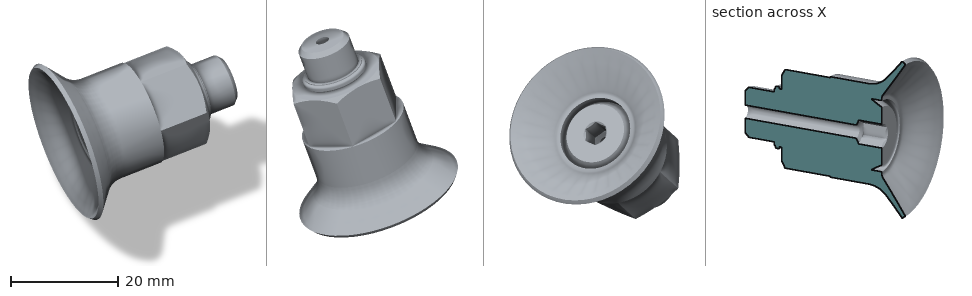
import cadquery as cq
import math

LENGTH = 34.0
RIM_Y = 0.75
FACE_Y = 5.0
SLEEVE_START_Y = 7.82
SLEEVE_END_Y = 16.0
HEX_END_Y = 26.25

RIM_DIAMETER = 31.15
LIP_DIAMETER = 30.05
SLEEVE_DIAMETER = 20.0
FLARE_RADIUS = 5.0
FLARE_TURN = math.radians(49)
FLOOR_DIAMETER = 15.1
FLOOR_FILLET_RADIUS = 1.0

GROOVE_DIAMETER = 14.0
FACE_DIAMETER = 11.5
GROOVE_TAPER = math.radians(30)

HEX_ACROSS_FLATS = 17.0
HEX_CHAMFER_ANGLE = math.radians(30)

SPIGOT_DIAMETER = 10.0
SPIGOT_CHAMFER = 0.85
NECK_DIAMETER = 11.6
NECK_LENGTH = 0.37
SEAL_DIAMETER = 12.4
SEAL_STRAIGHT = 0.5
SEAL_FILLET = 0.5
COLLAR_DIAMETER = 11.25
COLLAR_LENGTH = 0.17

BORE_DIAMETER = 2.5
SOCKET_ACROSS_FLATS = 4.0
SOCKET_DEPTH = 5.0
DRILL_POINT_ANGLE = math.radians(118)
COUNTERSINK_DIAMETER = 4.7
COUNTERSINK_ANGLE = math.radians(90)


def revolve_about_y(profile):
    """Turn a closed (radius, y) profile around the Y axis."""
    return profile.close().revolve(360, (0, 0, 0), (0, 1, 0))


def hex_prism(across_flats, start_y, length):
    """Hexagon along +Y with flats on +X and -X and corners on +Z and -Z."""
    corner_diameter = across_flats / math.cos(math.pi / 6)
    hexagon = cq.Workplane("XZ").polygon(6, corner_diameter).extrude(-length)
    return hexagon.rotate((0, 0, 0), (0, 1, 0), 30).translate((0, start_y, 0))


def cone_frustum(start_diameter, start_y, end_diameter, end_y):
    """Solid cone frustum on the Y axis."""
    profile = cq.Workplane("XY").moveTo(0, start_y).lineTo(start_diameter / 2, start_y)
    return revolve_about_y(profile.lineTo(end_diameter / 2, end_y).lineTo(0, end_y))


def make_cup():
    """Flared cup with a conical inside blended into a flat floor."""
    sleeve_radius = SLEEVE_DIAMETER / 2
    flare_centre_r = sleeve_radius + FLARE_RADIUS

    def flare_point(angle):
        r = flare_centre_r - FLARE_RADIUS * math.cos(angle)
        return r, SLEEVE_START_Y - FLARE_RADIUS * math.sin(angle)

    floor_radius = FLOOR_DIAMETER / 2
    lip_radius = LIP_DIAMETER / 2
    fillet_centre_y = FACE_Y - FLOOR_FILLET_RADIUS
    to_centre = math.hypot(lip_radius - floor_radius, fillet_centre_y)
    cone_angle = math.atan2(fillet_centre_y, lip_radius - floor_radius)
    cone_angle += math.asin(FLOOR_FILLET_RADIUS / to_centre)

    def fillet_point(angle):
        r = floor_radius + FLOOR_FILLET_RADIUS * math.sin(angle)
        return r, fillet_centre_y + FLOOR_FILLET_RADIUS * math.cos(angle)

    return revolve_about_y(
        cq.Workplane("XY")
        .moveTo(0, FACE_Y)
        .lineTo(floor_radius, FACE_Y)
        .threePointArc(fillet_point(cone_angle / 2), fillet_point(cone_angle))
        .lineTo(lip_radius, 0)
        .lineTo(RIM_DIAMETER / 2, RIM_Y)
        .lineTo(*flare_point(FLARE_TURN))
        .threePointArc(flare_point(FLARE_TURN / 2), (sleeve_radius, SLEEVE_START_Y))
        .lineTo(sleeve_radius, SLEEVE_END_Y)
        .lineTo(0, SLEEVE_END_Y)
    )


def make_hex_body():
    """Hexagon whose corners are chamfered at the spigot end."""
    corner_diameter = HEX_ACROSS_FLATS / math.cos(math.pi / 6)
    chamfer_height = (corner_diameter - HEX_ACROSS_FLATS) / 2 * math.tan(HEX_CHAMFER_ANGLE)
    chamfer_y = HEX_END_Y - chamfer_height
    body = hex_prism(HEX_ACROSS_FLATS, SLEEVE_END_Y, HEX_END_Y - SLEEVE_END_Y)
    envelope = cone_frustum(corner_diameter, SLEEVE_END_Y, corner_diameter, chamfer_y)
    envelope = envelope.union(cone_frustum(corner_diameter, chamfer_y, HEX_ACROSS_FLATS, HEX_END_Y))
    return body.intersect(envelope)


def make_spigot():
    """Neck, rounded sealing ring, collar and chamfered spigot."""
    seal_radius = SEAL_DIAMETER / 2
    seal_start_y = HEX_END_Y + NECK_LENGTH
    fillet_y = seal_start_y + SEAL_STRAIGHT
    seal_end_y = fillet_y + SEAL_FILLET
    fillet_middle = (
        seal_radius - SEAL_FILLET * (1 - math.sqrt(0.5)),
        fillet_y + SEAL_FILLET * math.sqrt(0.5),
    )
    collar_end_y = seal_end_y + COLLAR_LENGTH
    return revolve_about_y(
        cq.Workplane("XY")
        .moveTo(0, HEX_END_Y)
        .lineTo(NECK_DIAMETER / 2, HEX_END_Y)
        .lineTo(NECK_DIAMETER / 2, seal_start_y)
        .lineTo(seal_radius, seal_start_y)
        .lineTo(seal_radius, fillet_y)
        .threePointArc(fillet_middle, (seal_radius - SEAL_FILLET, seal_end_y))
        .lineTo(COLLAR_DIAMETER / 2, seal_end_y)
        .lineTo(COLLAR_DIAMETER / 2, collar_end_y)
        .lineTo(SPIGOT_DIAMETER / 2, collar_end_y)
        .lineTo(SPIGOT_DIAMETER / 2, LENGTH - SPIGOT_CHAMFER)
        .lineTo(SPIGOT_DIAMETER / 2 - SPIGOT_CHAMFER, LENGTH)
        .lineTo(0, LENGTH)
    )


def make_groove():
    """Triangular ring cut with a tapered inner side and a straight outer wall."""
    depth = (GROOVE_DIAMETER - FACE_DIAMETER) / 2 / math.tan(GROOVE_TAPER)
    return revolve_about_y(
        cq.Workplane("XY")
        .moveTo(FACE_DIAMETER / 2, FACE_Y)
        .lineTo(GROOVE_DIAMETER / 2, FACE_Y)
        .lineTo(GROOVE_DIAMETER / 2, FACE_Y + depth)
    )


def make_bore():
    """Through bore with a countersunk hexagon socket and a conical socket floor."""
    socket_end_y = FACE_Y + SOCKET_DEPTH
    floor_cone_depth = (SOCKET_ACROSS_FLATS - BORE_DIAMETER) / 2 / math.tan(DRILL_POINT_ANGLE / 2)
    countersink_depth = (
        (COUNTERSINK_DIAMETER - SOCKET_ACROSS_FLATS) / 2 / math.tan(COUNTERSINK_ANGLE / 2)
    )
    bore = cone_frustum(BORE_DIAMETER, FACE_Y, BORE_DIAMETER, LENGTH)
    socket = hex_prism(SOCKET_ACROSS_FLATS, FACE_Y, SOCKET_DEPTH)
    socket_floor = cone_frustum(
        SOCKET_ACROSS_FLATS, socket_end_y, BORE_DIAMETER, socket_end_y + floor_cone_depth
    )
    countersink = cone_frustum(
        COUNTERSINK_DIAMETER, FACE_Y, SOCKET_ACROSS_FLATS, FACE_Y + countersink_depth
    )
    return bore.union(socket).union(socket_floor).union(countersink)


result = make_cup().union(make_hex_body()).union(make_spigot())
result = result.cut(make_groove()).cut(make_bore())